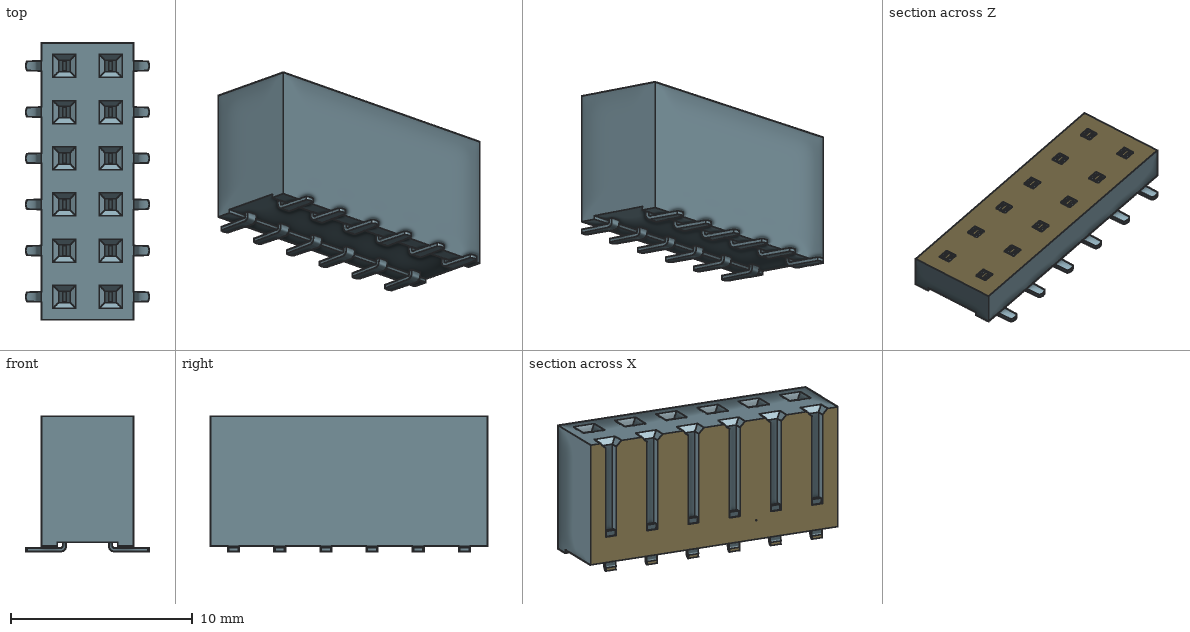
import cadquery as cq
import math

rows = 6
pitch = 2.54
columns = 2
overall_height = 7.45
lead_span = 6.8

body_width = columns * pitch
body_length = rows * pitch
body_bottom = 0.3
foot_width = 0.88
foot_height = 0.2
floor_bottom = body_bottom + foot_height

mouth_size = pitch / 2
bore_size = mouth_size / 2
mouth_depth = (mouth_size - bore_size) / 2
bore_bottom = 2.0

lead_thickness = 0.2
lead_width = 0.64
tip_width = 0.52
tip_bulge = 0.08
root_top = floor_bottom + lead_thickness
bend_outer_radius = 0.3
bend_inner_radius = bend_outer_radius - lead_thickness

blade_width = 0.54
blade_height = 0.3
blade_top = bore_bottom + blade_height

row_positions = [(row - (rows - 1) / 2) * pitch for row in range(rows)]
column_x = pitch / 2


def make_housing():
    """Rectangular block standing on two long feet."""
    block = cq.Workplane("XY").box(
        body_width, body_length, overall_height - body_bottom, centered=(True, True, False)
    )
    block = block.translate((0, 0, body_bottom))
    channel = cq.Workplane("XY").box(
        body_width - 2 * foot_width, body_length, foot_height, centered=(True, True, False)
    )
    return block.cut(channel.translate((0, 0, body_bottom)))


def make_cavity():
    """Square bore with a pyramidal lead-in at the top face."""
    bore = (
        cq.Workplane("XY", origin=(0, 0, bore_bottom))
        .rect(bore_size, bore_size)
        .extrude(overall_height - bore_bottom)
    )
    lead_in = (
        cq.Workplane("XY", origin=(0, 0, overall_height))
        .rect(mouth_size, mouth_size)
        .workplane(offset=-mouth_depth)
        .rect(bore_size, bore_size)
        .loft(ruled=True)
    )
    return bore.union(lead_in)


def make_lead():
    """Gull-wing lead and contact blade of the +X column, centred on Y = 0."""
    inner_x = column_x - lead_thickness / 2
    outer_x = column_x + lead_thickness / 2
    bend_x = inner_x + bend_outer_radius
    tip_x = lead_span / 2
    diagonal = math.cos(math.radians(45))
    outer_mid = (
        bend_x - bend_outer_radius * diagonal,
        bend_outer_radius * (1 - diagonal),
    )
    inner_mid = (
        bend_x - bend_inner_radius * diagonal,
        bend_outer_radius - bend_inner_radius * diagonal,
    )
    strip = (
        cq.Workplane("XZ")
        .moveTo(inner_x, root_top)
        .lineTo(inner_x, bend_outer_radius)
        .threePointArc(outer_mid, (bend_x, 0))
        .lineTo(tip_x, 0)
        .lineTo(tip_x, lead_thickness)
        .lineTo(bend_x, lead_thickness)
        .threePointArc(inner_mid, (outer_x, bend_outer_radius))
        .lineTo(outer_x, root_top)
        .close()
        .extrude(lead_width / 2, both=True)
    )
    plan = (
        cq.Workplane("XY")
        .moveTo(inner_x, lead_width / 2)
        .lineTo(bend_x, lead_width / 2)
        .lineTo(tip_x - tip_bulge, tip_width / 2)
        .threePointArc((tip_x, 0), (tip_x - tip_bulge, -tip_width / 2))
        .lineTo(bend_x, -lead_width / 2)
        .lineTo(inner_x, -lead_width / 2)
        .close()
        .extrude(root_top)
    )
    strip = strip.intersect(plan)
    blade = cq.Workplane("XY", origin=(column_x, 0, floor_bottom)).rect(lead_thickness, blade_width)
    return strip.union(blade.extrude(blade_top - floor_bottom))


housing = make_housing()
cavity = make_cavity()
right_lead = make_lead()
left_lead = right_lead.mirror("YZ")

for y in row_positions:
    for x in (-column_x, column_x):
        housing = housing.cut(cavity.translate((x, y, 0)))

result = housing
for y in row_positions:
    for lead in (left_lead, right_lead):
        result = result.union(lead.translate((0, y, 0)))